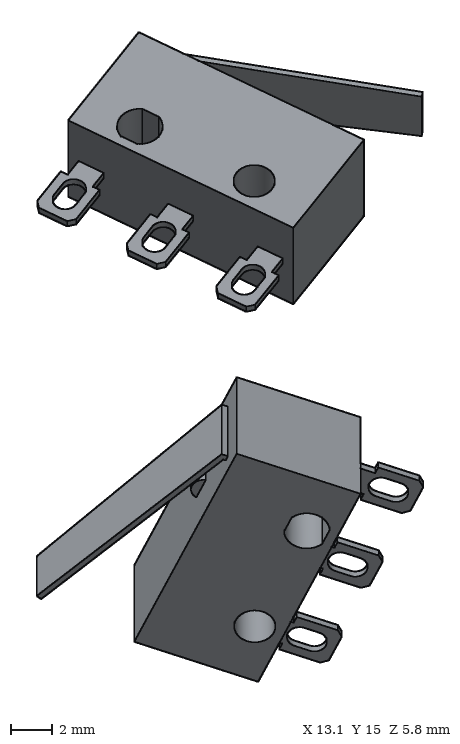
import cadquery as cq
import math

OVERALL_DEPTH = 15

HOUSING_LENGTH = 12.8
HOUSING_DEPTH = 6.5
HOUSING_HEIGHT = 5.8
FRONT_Y = -HOUSING_DEPTH / 2
REAR_Y = HOUSING_DEPTH / 2

HOLE_DIAMETER = 2.0
HOLE_SPACING = 6.5
HOLE_EDGE_DISTANCE = 1.5
HOLE_Y = FRONT_Y + HOLE_EDGE_DISTANCE
FLATTED_HOLE_DIAMETER = 2.2

PLUNGER_RADIUS = 0.6
PLUNGER_X = -1.95
PLUNGER_RISE = 0.48
PLUNGER_HEIGHT = 1.2

TERMINAL_PITCH = 5.08
TERMINAL_COUNT = 3
TERMINAL_LENGTH = 3.5
TERMINAL_WIDTH = 2.2
TERMINAL_THICKNESS = 0.4
NECK_WIDTH = 1.42
NECK_LENGTH = 1.0
TIP_CHAMFER_X = 0.3
TIP_CHAMFER_Y = 0.33
EYE_WIDTH = 1.22
EYE_LENGTH = 2.0

LEVER_THICKNESS = 0.3
LEVER_X = -5.31
LEVER_BEND_RISE = 0.33
LEVER_ANGLE = math.radians(21.4)
LEVER_RISE = OVERALL_DEPTH - HOUSING_DEPTH - TERMINAL_LENGTH
LEVER_ROOT_HEIGHT = 3.75
LEVER_TIP_HEIGHT = 3


def make_block():
    return cq.Workplane("XY").box(HOUSING_LENGTH, HOUSING_DEPTH, HOUSING_HEIGHT)


def make_round_hole():
    return (
        cq.Workplane("XY")
        .center(HOLE_SPACING / 2, HOLE_Y)
        .circle(HOLE_DIAMETER / 2)
        .extrude(HOUSING_HEIGHT, both=True)
    )


def make_flatted_hole():
    bore = (
        cq.Workplane("XY")
        .center(-HOLE_SPACING / 2, HOLE_Y)
        .circle(FLATTED_HOLE_DIAMETER / 2)
        .extrude(HOUSING_HEIGHT, both=True)
    )
    flats = (
        cq.Workplane("XY")
        .center(-HOLE_SPACING / 2, HOLE_Y)
        .rect(FLATTED_HOLE_DIAMETER, HOLE_DIAMETER)
        .extrude(HOUSING_HEIGHT, both=True)
    )
    return bore.intersect(flats)


def make_plunger():
    return (
        cq.Workplane("XY")
        .center(PLUNGER_X, REAR_Y + PLUNGER_RISE - PLUNGER_RADIUS)
        .circle(PLUNGER_RADIUS)
        .extrude(PLUNGER_HEIGHT / 2, both=True)
    )


def make_terminal(x):
    """Flat terminal at x: narrow neck, wide tab with bevelled corners, slotted eye."""
    neck = NECK_WIDTH / 2
    tab = TERMINAL_WIDTH / 2
    shoulder_y = -NECK_LENGTH
    tip_y = -TERMINAL_LENGTH
    plate = (
        cq.Workplane("XY", origin=(x, FRONT_Y, 0))
        .polyline([
            (-neck, 0),
            (-neck, shoulder_y),
            (-tab, shoulder_y),
            (-tab, tip_y + TIP_CHAMFER_Y),
            (-tab + TIP_CHAMFER_X, tip_y),
            (tab - TIP_CHAMFER_X, tip_y),
            (tab, tip_y + TIP_CHAMFER_Y),
            (tab, shoulder_y),
            (neck, shoulder_y),
            (neck, 0),
        ])
        .close()
        .extrude(TERMINAL_THICKNESS / 2, both=True)
    )
    eye = (
        cq.Workplane("XY", origin=(x, FRONT_Y, 0))
        .center(0, shoulder_y - EYE_LENGTH / 2)
        .slot2D(EYE_LENGTH, EYE_WIDTH, 90)
        .extrude(TERMINAL_THICKNESS, both=True)
    )
    return plate.cut(eye)


def make_housing():
    """Housing with its plunger and terminals as one solid."""
    body = make_block().union(make_plunger())
    body = body.cut(make_round_hole()).cut(make_flatted_hole())
    for index in range(TERMINAL_COUNT):
        x = (index - (TERMINAL_COUNT - 1) / 2) * TERMINAL_PITCH
        body = body.union(make_terminal(x))
    return body


def make_lever():
    """Upright leg and sloping arm, trimmed to taper evenly along X."""
    slope = math.tan(LEVER_ANGLE)
    bend_y = REAR_Y + LEVER_BEND_RISE
    tip_y = REAR_Y + LEVER_RISE
    tip_x = LEVER_X + (tip_y - bend_y) / slope
    tip_lower_x = tip_x + LEVER_THICKNESS * math.sin(LEVER_ANGLE)
    tip_lower_y = tip_y - LEVER_THICKNESS * math.cos(LEVER_ANGLE)
    inner_x = LEVER_X + LEVER_THICKNESS
    inner_y = tip_lower_y - (tip_lower_x - inner_x) * slope
    strip = (
        cq.Workplane("XY")
        .polyline([
            (LEVER_X, REAR_Y),
            (LEVER_X, bend_y),
            (tip_x, tip_y),
            (tip_lower_x, tip_lower_y),
            (inner_x, inner_y),
            (inner_x, REAR_Y),
        ])
        .close()
        .extrude(LEVER_ROOT_HEIGHT / 2, both=True)
    )
    root = LEVER_ROOT_HEIGHT / 2
    tip = LEVER_TIP_HEIGHT / 2
    taper = (
        cq.Workplane("XZ")
        .polyline([
            (LEVER_X, -root),
            (tip_lower_x, -tip),
            (tip_lower_x, tip),
            (LEVER_X, root),
        ])
        .close()
        .extrude(OVERALL_DEPTH, both=True)
    )
    return strip.intersect(taper)


housing = make_housing()
lever = make_lever()
result = cq.Compound.makeCompound([housing.val(), lever.val()])